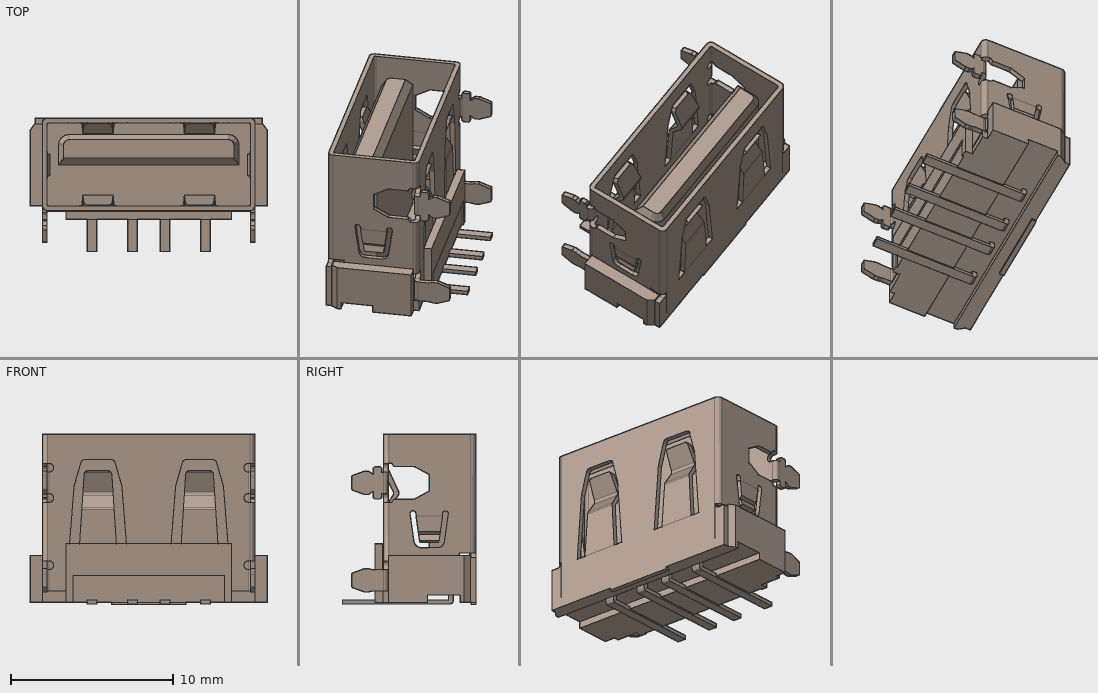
import cadquery as cq


SHELL_WIDTH = 13.1
SHELL_DEPTH = 5.7
SHELL_TOP = 10.5
SHEET = 0.3
CORNER_RADIUS = 0.33
INNER_CORNER_RADIUS = 0.1
SHELL_BOTTOM = 0.83
HALF_WIDTH = SHELL_WIDTH / 2
INNER_HALF_WIDTH = HALF_WIDTH - SHEET
FRONT_INNER = SHEET - SHELL_DEPTH
MID_Y = -SHELL_DEPTH / 2

BODY_BOTTOM = 0.14
FLOOR_TOP = SHELL_BOTTOM
WING_TOP = 3.03
SHELL_CLEARANCE = 0.04
BODY_FRONT = -SHELL_DEPTH - SHELL_CLEARANCE
WING_HALF_WIDTH = 7.3
WING_BACK = -0.35
WING_CHAMFER_X = 0.28
WING_CHAMFER_Y = 0.39
FRONT_BLOCK_HALF_WIDTH = 5.1
FRONT_BLOCK_TOP = 3.76
FRONT_BLOCK_FACE = -6.23
RECESS_HALF_WIDTH = 4.67
RECESS_TOP = 1.81
RECESS_DEPTH = 0.1
CHANNEL_BACK = -0.98
CHANNEL_FRONT = -2.98
CHANNEL_TOP = 0.585

TONGUE_HALF_WIDTH = 5.55
TONGUE_BACK = -1.02
TONGUE_FRONT = -2.88
TONGUE_SHOULDER = 9.15
TONGUE_TOP = 9.64
TONGUE_CORNER_RADIUS = 0.64
TONGUE_BEVEL = 0.31
TONGUE_FRONT_BEVEL = 0.41

CONTACT_POSITIONS = (-3.5, -1.0, 1.0, 3.5)
CONTACT_WIDTH = 0.6
CONTACT_BOTTOM = 0.04
CONTACT_THICKNESS = 0.25
CONTACT_TIP = -8.22
CONTACT_BACK = -1.4
CONTACT_STEM = 0.3
CONTACT_BEND_RADIUS = 0.2

SPRING_X = 3.125
SPRING_ROOT = 3.0
SPRING_KNEE = 5.93
SPRING_CREST = 6.84
SPRING_TIP_OUTER = 8.18
SPRING_TIP = 8.27
SPRING_KNEE_TRAVEL = 0.04
SPRING_CREST_TRAVEL = 0.66
SPRING_SLANT_THICKNESS = 0.34
SPRING_ROOT_HALF_WIDTH = 1.18
SPRING_TIP_HALF_WIDTH = 0.84
SPRING_TIP_RADIUS = 0.3
SPRING_BEND_RADIUS = 0.25
OPENING_TOP = 8.93
OPENING_KNEE = 7.3
OPENING_ROOT_HALF_WIDTH = 1.81
OPENING_KNEE_HALF_WIDTH = 1.47
OPENING_TOP_HALF_WIDTH = 1.0
OPENING_CORNER_RADIUS = 0.25

SIDE_SPRING_Y = TONGUE_FRONT
SIDE_SLOT_WIDTH = 0.35
SIDE_SLOT_UPPER_Z = 5.6
SIDE_SLOT_LOWER_Z = 3.69
SIDE_SLOT_UPPER_OFFSET = 1.0
SIDE_SLOT_LOWER_OFFSET = 0.765
SIDE_SLOT_BEND_RADIUS = 0.25
SIDE_SPRING_ROOT = 5.47
SIDE_SPRING_KNEE = 4.5
SIDE_SPRING_CREST = 4.33
SIDE_SPRING_TIP_OUTER = 3.94
SIDE_SPRING_TIP = 3.83
SIDE_SPRING_KNEE_TRAVEL = 0.03
SIDE_SPRING_CREST_TRAVEL = 0.17
SIDE_SPRING_CORNER_RADIUS = 0.1

UPPER_TAB_Z = 7.5
LOWER_TAB_Z = 1.5
TAB_NECK = 0.66
TAB_TIP = -7.65
TAB_SHOULDER = -6.88
TAB_HEAD_START = -6.62
TAB_HEAD = 0.72
TAB_TIP_HALF_HEIGHT = 0.44
TAB_TIP_RADIUS = 0.1
EAR_START = -5.8
EAR_END = -6.33
EAR_HALF_HEIGHT = 1.0
EAR_CHAMFER = 0.1
EAR_NOTCH = 0.53
TAB_BEND_RADIUS = 0.12
TAB_OUTER_BEND_RADIUS = 0.28
RELIEF_HEIGHT = 0.54
RELIEF_END_X = 5.86
WINDOW_BACK = TONGUE_FRONT
WINDOW_TIP_HALF_HEIGHT = 0.5
WINDOW_SHOULDER = -3.8
WINDOW_STEP = -5.04
WINDOW_MOUTH = -5.2

FLANGE_HALF_WIDTH = 7.0
FLANGE_TOP = 2.89
FLANGE_RELIEF_TOP = 3.17
FLANGE_RELIEF_FRONT = -1.03
REAR_FOOT_HALF_WIDTH = 2.28


def block(x_min, x_max, y_min, y_max, z_min, z_max):
    """Axis-aligned box between two opposite corners."""
    size = (x_max - x_min, y_max - y_min, z_max - z_min)
    return cq.Workplane("XY").box(*size, centered=False).translate((x_min, y_min, z_min))


def centered_block(half_width, y_min, y_max, z_min, z_max):
    """Box that is symmetric about the YZ plane."""
    return block(-half_width, half_width, y_min, y_max, z_min, z_max)


def both_sides(solid):
    """The solid together with its mirror image across the YZ plane."""
    return solid.union(solid.mirror("YZ"))


def prism_x(points, x_min, x_max):
    """Outline in (y, z), extruded from x_min to x_max."""
    return cq.Workplane("YZ").polyline(points).close().extrude(x_max - x_min).translate((x_min, 0, 0))


def prism_y(points, y_min, y_max):
    """Outline in (x, z), extruded from y_min to y_max."""
    return cq.Workplane("XZ").polyline(points).close().extrude(y_max - y_min).translate((0, y_max, 0))


def symmetric(half_outline, center=0.0):
    """Close (offset, height) points, listed bottom to top, about a vertical line."""
    right = [(center + offset, height) for offset, height in half_outline]
    left = [(center - offset, height) for offset, height in reversed(half_outline)]
    return right + left



def make_tube():
    """Rectangular sheet-metal tube with rounded corners."""
    outer = centered_block(HALF_WIDTH, -SHELL_DEPTH, 0, SHELL_BOTTOM, SHELL_TOP)
    outer = outer.edges("|Z").fillet(CORNER_RADIUS)
    inner = centered_block(INNER_HALF_WIDTH, FRONT_INNER, -SHEET, SHELL_BOTTOM, SHELL_TOP)
    return outer.cut(inner.edges("|Z").fillet(INNER_CORNER_RADIUS))


def make_spring_opening():
    """Opening around one latch spring in the front wall."""
    outline = symmetric([
        (OPENING_ROOT_HALF_WIDTH, SPRING_ROOT),
        (OPENING_KNEE_HALF_WIDTH, OPENING_KNEE),
        (OPENING_TOP_HALF_WIDTH, OPENING_TOP),
    ])
    opening = prism_y(outline, -SHELL_DEPTH, FRONT_INNER)
    return opening.edges("|Y").edges(">Z or >>Z[-2]").fillet(OPENING_CORNER_RADIUS)


def make_latch_spring():
    """Latch spring of the front wall: leans in to a crest, then flares back out."""
    outer_path = [
        (0, SPRING_ROOT),
        (SPRING_KNEE_TRAVEL, SPRING_KNEE),
        (SPRING_CREST_TRAVEL, SPRING_CREST),
        (0, SPRING_TIP_OUTER),
    ]
    inner_path = [
        (SPRING_SLANT_THICKNESS, SPRING_TIP),
        (SPRING_CREST_TRAVEL + SPRING_SLANT_THICKNESS, SPRING_CREST),
        (SPRING_KNEE_TRAVEL + SHEET, SPRING_KNEE),
        (SHEET, SPRING_ROOT),
    ]
    profile = [(depth - SHELL_DEPTH, z) for depth, z in outer_path + inner_path]
    strip = prism_x(profile, -OPENING_ROOT_HALF_WIDTH, OPENING_ROOT_HALF_WIDTH)
    bends = cq.selectors.BoxSelector(
        (-SHELL_WIDTH, -SHELL_DEPTH, SPRING_KNEE - SHEET), (SHELL_WIDTH, 0, SPRING_CREST + SHEET)
    )
    strip = strip.edges("|X").edges(bends).fillet(SPRING_BEND_RADIUS)
    outline = symmetric([
        (SPRING_ROOT_HALF_WIDTH, SPRING_ROOT),
        (SPRING_TIP_HALF_WIDTH, SPRING_TIP),
    ])
    mask = prism_y(outline, -SHELL_DEPTH, 0)
    return strip.intersect(mask.edges("|Y and >Z").fillet(SPRING_TIP_RADIUS))


def add_latch_springs(shell):
    """Two latch springs in the front wall and two mirrored in the back wall."""
    opening = make_spring_opening()
    spring = make_latch_spring()
    for x in (-SPRING_X, SPRING_X):
        for on_back in (False, True):
            hole = opening.translate((x, 0, 0))
            leaf = spring.translate((x, 0, 0))
            if on_back:
                hole = hole.mirror("XZ", (0, MID_Y, 0))
                leaf = leaf.mirror("XZ", (0, MID_Y, 0))
            shell = shell.cut(hole).union(leaf)
    return shell


def add_side_springs(shell):
    """Downward leaf in each side wall, freed by a U-shaped slot."""
    upper = SIDE_SLOT_UPPER_OFFSET
    lower = SIDE_SLOT_LOWER_OFFSET
    bend = SIDE_SLOT_BEND_RADIUS
    slot = (
        cq.Workplane("YZ")
        .center(SIDE_SPRING_Y, SIDE_SLOT_LOWER_Z)
        .moveTo(-upper, SIDE_SLOT_UPPER_Z - SIDE_SLOT_LOWER_Z)
        .lineTo(-lower, bend)
        .tangentArcPoint((bend - lower, 0), relative=False)
        .lineTo(lower - bend, 0)
        .tangentArcPoint((lower, bend), relative=False)
        .lineTo(upper, SIDE_SLOT_UPPER_Z - SIDE_SLOT_LOWER_Z)
        .offset2D(SIDE_SLOT_WIDTH / 2)
    )
    slot = slot.extrude(SHEET).translate((-HALF_WIDTH, 0, 0))
    leaf_area = symmetric([
        (SIDE_SLOT_LOWER_OFFSET - SIDE_SLOT_WIDTH / 2, SIDE_SPRING_TIP),
        (SIDE_SLOT_UPPER_OFFSET - SIDE_SLOT_WIDTH / 2, SIDE_SPRING_ROOT),
    ], SIDE_SPRING_Y)
    flat_leaf = prism_x(leaf_area, -HALF_WIDTH, -INNER_HALF_WIDTH)
    outer_path = [
        (0, SIDE_SPRING_ROOT),
        (SIDE_SPRING_KNEE_TRAVEL, SIDE_SPRING_KNEE),
        (SIDE_SPRING_CREST_TRAVEL, SIDE_SPRING_CREST),
        (SIDE_SPRING_KNEE_TRAVEL, SIDE_SPRING_TIP_OUTER),
    ]
    inner_path = [
        (SIDE_SPRING_KNEE_TRAVEL + SHEET, SIDE_SPRING_TIP),
        (SIDE_SPRING_CREST_TRAVEL + SHEET, SIDE_SPRING_CREST),
        (SIDE_SPRING_KNEE_TRAVEL + SHEET, SIDE_SPRING_KNEE),
        (SHEET, SIDE_SPRING_ROOT),
    ]
    profile = [(depth - HALF_WIDTH, z) for depth, z in outer_path + inner_path]
    leaf = prism_y(profile, -SHELL_DEPTH, 0)
    leaf_mask = prism_x(leaf_area, -HALF_WIDTH, 0).edges("|X and <Z").fillet(SIDE_SPRING_CORNER_RADIUS)
    leaf = leaf.intersect(leaf_mask)
    shell = shell.cut(both_sides(slot)).cut(both_sides(flat_leaf))
    return shell.union(both_sides(leaf))


def cut_windows(shell):
    """Side openings left where the tabs are folded out."""
    for tab_z, half_height in ((UPPER_TAB_Z, EAR_HALF_HEIGHT), (LOWER_TAB_Z, TAB_HEAD)):
        upper = [
            (WINDOW_BACK, WINDOW_TIP_HALF_HEIGHT),
            (WINDOW_SHOULDER, half_height),
            (WINDOW_STEP, half_height),
            (WINDOW_MOUTH, TAB_NECK + RELIEF_HEIGHT),
            (FRONT_INNER, TAB_NECK + RELIEF_HEIGHT),
        ]
        outline = [(y, tab_z + z) for y, z in upper] + [(y, tab_z - z) for y, z in reversed(upper)]
        window = prism_x(outline, INNER_HALF_WIDTH - INNER_CORNER_RADIUS, HALF_WIDTH)
        shell = shell.cut(both_sides(window))
    return shell


def cut_reliefs(shell):
    """Round-ended bend reliefs in the front wall beside each tab."""
    radius = RELIEF_HEIGHT / 2
    center_offset = TAB_NECK + radius
    for z in (UPPER_TAB_Z + center_offset, UPPER_TAB_Z - center_offset, LOWER_TAB_Z + center_offset):
        end_x = RELIEF_END_X + radius
        straight = block(end_x, HALF_WIDTH, -SHELL_DEPTH, FRONT_INNER, z - radius, z + radius)
        end = cq.Workplane("XZ").center(end_x, z).circle(radius).extrude(SHEET)
        shell = shell.cut(both_sides(straight.union(end.translate((0, FRONT_INNER, 0)))))
    return shell


def make_tab_plate(tab_z, has_ears):
    """Flat part of a tab: neck, optional ears and a tapered head."""
    neck = [(-SHELL_DEPTH, TAB_NECK)]
    if has_ears:
        neck += [
            (EAR_START, TAB_NECK),
            (EAR_START, EAR_HALF_HEIGHT - EAR_CHAMFER),
            (EAR_START - EAR_CHAMFER, EAR_HALF_HEIGHT),
            (EAR_END + EAR_CHAMFER, EAR_HALF_HEIGHT),
            (EAR_END, EAR_HALF_HEIGHT - EAR_CHAMFER),
            (EAR_END, EAR_NOTCH),
        ]
    else:
        neck += [(EAR_END, TAB_NECK)]
    upper = neck + [
        (TAB_HEAD_START, TAB_HEAD),
        (TAB_SHOULDER, TAB_HEAD),
        (TAB_TIP, TAB_TIP_HALF_HEIGHT),
    ]
    outline = [(y, tab_z + z) for y, z in upper] + [(y, tab_z - z) for y, z in reversed(upper)]
    plate = prism_x(outline, INNER_HALF_WIDTH, HALF_WIDTH)
    return plate.edges("|X and <Y").fillet(TAB_TIP_RADIUS)


def make_tab(tab_z, has_ears):
    """Tab folded forward out of the front wall at the +X corner."""
    bottom = tab_z - TAB_NECK
    top = tab_z + TAB_NECK
    inner_bend_x = INNER_HALF_WIDTH - TAB_BEND_RADIUS
    bend = block(inner_bend_x, HALF_WIDTH, -SHELL_DEPTH, FRONT_INNER, bottom, top)
    bend = bend.edges("|Z and >X and >Y").fillet(TAB_OUTER_BEND_RADIUS)
    inner_bend_y = -SHELL_DEPTH - TAB_BEND_RADIUS
    inner_bend = block(inner_bend_x, INNER_HALF_WIDTH, inner_bend_y, -SHELL_DEPTH, bottom, top)
    hollow = cq.Workplane("XY").center(inner_bend_x, inner_bend_y).circle(TAB_BEND_RADIUS)
    hollow = hollow.extrude(SHELL_TOP)
    return bend.union(inner_bend.cut(hollow)).union(make_tab_plate(tab_z, has_ears))


def add_tabs(shell):
    """Upper and lower tabs in place of the front corners."""
    for tab_z, has_ears in ((UPPER_TAB_Z, True), (LOWER_TAB_Z, False)):
        corner = block(
            INNER_HALF_WIDTH - TAB_BEND_RADIUS, HALF_WIDTH,
            -SHELL_DEPTH, FRONT_INNER,
            tab_z - TAB_NECK, tab_z + TAB_NECK,
        )
        shell = shell.cut(both_sides(corner)).union(both_sides(make_tab(tab_z, has_ears)))
    return shell


def add_rear_flanges(shell):
    """Low flanges that carry the back wall sideways, and the foot beneath it."""
    relief = block(INNER_HALF_WIDTH, HALF_WIDTH, FLANGE_RELIEF_FRONT, 0, SHELL_BOTTOM, FLANGE_RELIEF_TOP)
    radius = FLANGE_RELIEF_TOP - FLANGE_TOP
    flange = block(INNER_HALF_WIDTH, FLANGE_HALF_WIDTH, WING_BACK, 0, BODY_BOTTOM, FLANGE_TOP)
    web = block(INNER_HALF_WIDTH, INNER_HALF_WIDTH + radius, -SHEET, 0, FLANGE_TOP, FLANGE_RELIEF_TOP)
    rounding = cq.Workplane("XZ").center(INNER_HALF_WIDTH + radius, FLANGE_RELIEF_TOP).circle(radius)
    web = web.cut(rounding.extrude(SHEET))
    skirt = centered_block(INNER_HALF_WIDTH, WING_BACK, 0, BODY_BOTTOM, SHELL_BOTTOM)
    foot = centered_block(REAR_FOOT_HALF_WIDTH, -SHEET, 0, 0, BODY_BOTTOM)
    shell = shell.cut(both_sides(relief)).union(both_sides(flange.union(web)))
    return shell.union(skirt).union(foot)


def make_shell():
    shell = make_tube()
    shell = add_latch_springs(shell)
    shell = cut_windows(shell)
    shell = add_side_springs(shell)
    shell = cut_reliefs(shell)
    shell = add_tabs(shell)
    return add_rear_flanges(shell)



def tongue_outline(z, inset, front_inset):
    """Tongue section with square front corners and round back corners."""
    x = TONGUE_HALF_WIDTH - inset
    back = TONGUE_BACK - inset
    radius = TONGUE_CORNER_RADIUS - inset
    return (
        cq.Workplane("XY", origin=(0, 0, z))
        .moveTo(-x, TONGUE_FRONT + front_inset)
        .lineTo(x, TONGUE_FRONT + front_inset)
        .lineTo(x, back - radius)
        .radiusArc((x - radius, back), -radius)
        .lineTo(radius - x, back)
        .radiusArc((-x, back - radius), -radius)
        .close()
    )


def make_tongue():
    """Contact tongue with a bevelled upper end."""
    column = tongue_outline(FLOOR_TOP, 0, 0).extrude(TONGUE_SHOULDER - FLOOR_TOP)
    lower = tongue_outline(TONGUE_SHOULDER, 0, 0)
    upper = tongue_outline(TONGUE_TOP, TONGUE_BEVEL, TONGUE_FRONT_BEVEL)
    bevel = cq.Solid.makeLoft([lower.val(), upper.val()], True)
    return column.union(cq.Workplane(bevel))


def make_wings():
    """Side wings that stand outside the shell."""
    outline = [
        (HALF_WIDTH, WING_BACK),
        (WING_HALF_WIDTH - WING_CHAMFER_X, WING_BACK),
        (WING_HALF_WIDTH, WING_BACK - WING_CHAMFER_Y),
        (WING_HALF_WIDTH, FRONT_INNER),
        (HALF_WIDTH, FRONT_INNER),
    ]
    wing = cq.Workplane("XY").polyline(outline).close().extrude(WING_TOP - BODY_BOTTOM)
    return both_sides(wing.translate((0, 0, BODY_BOTTOM)))


def make_front_block():
    """Block in front of the shell with a shallow recess in its face."""
    plate = centered_block(
        FRONT_BLOCK_HALF_WIDTH, FRONT_BLOCK_FACE, BODY_FRONT, BODY_BOTTOM, FRONT_BLOCK_TOP
    )
    recess = centered_block(
        RECESS_HALF_WIDTH, FRONT_BLOCK_FACE, FRONT_BLOCK_FACE + RECESS_DEPTH, BODY_BOTTOM, RECESS_TOP
    )
    return plate.cut(recess)


def make_body():
    floor = centered_block(HALF_WIDTH, BODY_FRONT, WING_BACK, BODY_BOTTOM, FLOOR_TOP)
    body = floor.union(make_wings()).union(make_front_block())
    channel = centered_block(WING_HALF_WIDTH, CHANNEL_FRONT, CHANNEL_BACK, BODY_BOTTOM, CHANNEL_TOP)
    return body.cut(channel).union(make_tongue())



def make_contact(x):
    """L-shaped contact: a flat solder tail with a short stem up into the body."""
    x_min = x - CONTACT_WIDTH / 2
    x_max = x + CONTACT_WIDTH / 2
    tail_top = CONTACT_BOTTOM + CONTACT_THICKNESS
    tail = block(x_min, x_max, CONTACT_TIP, CONTACT_BACK, CONTACT_BOTTOM, tail_top)
    stem = block(x_min, x_max, CONTACT_BACK - CONTACT_STEM, CONTACT_BACK, CONTACT_BOTTOM, FLOOR_TOP)
    contact = tail.union(stem)
    return contact.edges("|X and >Y and <Z").fillet(CONTACT_BEND_RADIUS)


result = make_body().union(make_shell())
for contact_x in CONTACT_POSITIONS:
    result = result.union(make_contact(contact_x))